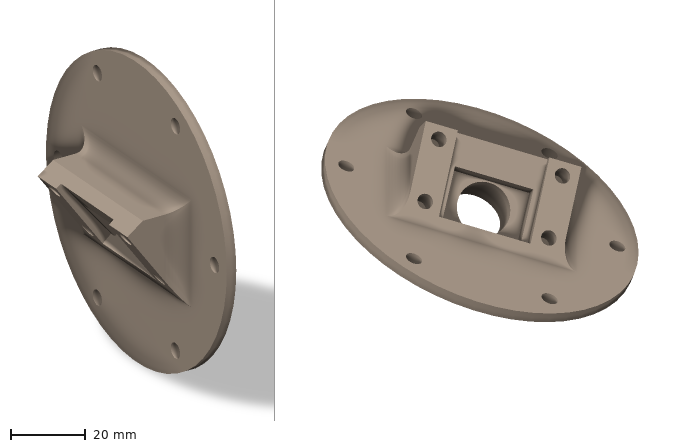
import cadquery as cq
import math

flange_diameter = 89.0
flange_thickness = 3.0
spigot_diameter = 62.9
overall_depth = 23.05
back_y = 6.0
bolt_circle_radius = 38.45
bolt_hole_diameter = 4.5
bolt_count = 6

mount_width = 44.1
mount_top_z = 9.6
mount_foot_z = -17.3
mount_tip_z = 6.05
fillet_radius = 5.0
root_overlap = 0.9
tip_y = back_y - overall_depth
slope_angle = math.degrees(math.atan2(mount_tip_z - mount_foot_z, -tip_y))

screw_hole_diameter = 4.3
screw_hole_depth = 7.1
screw_spacing_x = 35.1
screw_heights = (2.85, -11.7)

pocket_floor_angle = 50.0
pocket_width = 26.0
pocket_corner_y = 0.4
pocket_corner_z = -11.8
recess_width = 22.25
recess_length = 15.7
recess_depth = 4.3
bore_diameter = 14.8
clearance = 35.6


def tilted_plane(y, z, angle):
    """Plane rising forwards at the angle: local y runs up it, local z points out of the part."""
    tilt = math.radians(angle)
    return cq.Plane(
        origin=(0, y, z),
        xDir=(1, 0, 0),
        normal=(0, -math.sin(tilt), -math.cos(tilt)),
    )


def make_flange():
    disc = cq.Workplane("XZ").circle(flange_diameter / 2).extrude(-flange_thickness)
    spigot = cq.Workplane("XZ").circle(spigot_diameter / 2).extrude(-back_y)
    return disc.union(spigot)


def make_mount():
    """Wedge whose sides and top flare concavely into the flange and meet in mitres."""
    half_width = mount_width / 2
    flare_half_width = half_width + fillet_radius
    flare_top_z = mount_top_z + fillet_radius
    arc_offset = fillet_radius * (1 - math.sqrt(0.5))

    width_outline = (
        cq.Workplane("XY")
        .moveTo(-half_width, tip_y)
        .lineTo(half_width, tip_y)
        .lineTo(half_width, -fillet_radius)
        .threePointArc((half_width + arc_offset, -arc_offset), (flare_half_width, 0))
        .lineTo(flare_half_width, root_overlap)
        .lineTo(-flare_half_width, root_overlap)
        .lineTo(-flare_half_width, 0)
        .threePointArc((-half_width - arc_offset, -arc_offset), (-half_width, -fillet_radius))
        .close()
        .extrude(clearance, both=True)
    )

    slope = math.radians(slope_angle)
    nose_y = tip_y + (mount_top_z - mount_tip_z) * math.tan(slope)
    wedge = (
        cq.Workplane("YZ")
        .moveTo(root_overlap, mount_foot_z)
        .lineTo(0, mount_foot_z)
        .lineTo(tip_y, mount_tip_z)
        .lineTo(nose_y, mount_top_z)
        .lineTo(-fillet_radius, mount_top_z)
        .threePointArc((-arc_offset, mount_top_z + arc_offset), (0, flare_top_z))
        .lineTo(root_overlap, flare_top_z)
        .close()
        .extrude(clearance, both=True)
    )
    return width_outline.intersect(wedge)


def cut_bolt_holes(body):
    holes = (
        cq.Workplane("XZ")
        .polarArray(bolt_circle_radius, 0, 360, bolt_count)
        .circle(bolt_hole_diameter / 2)
        .extrude(-back_y)
    )
    return body.cut(holes)


def cut_screw_holes(body):
    for z in screw_heights:
        y = tip_y * (z - mount_foot_z) / (mount_tip_z - mount_foot_z)
        holes = (
            cq.Workplane(tilted_plane(y, z, slope_angle))
            .pushPoints([(-screw_spacing_x / 2, 0), (screw_spacing_x / 2, 0)])
            .circle(screw_hole_diameter / 2)
            .extrude(-screw_hole_depth)
        )
        body = body.cut(holes)
    return body


def cut_pocket(body):
    floor = cq.Workplane(tilted_plane(pocket_corner_y, pocket_corner_z, pocket_floor_angle))
    pocket = floor.center(0, clearance / 2).rect(pocket_width, clearance).extrude(clearance)
    recess_start = cq.Workplane(floor.plane).center(0, recess_length / 2)
    recess = recess_start.rect(recess_width, recess_length).extrude(-recess_depth)
    bore_start = cq.Workplane(floor.plane).center(0, recess_length / 2)
    bore = bore_start.circle(bore_diameter / 2).extrude(-clearance)
    return body.cut(pocket).cut(recess).cut(bore)


result = make_flange().union(make_mount())
result = cut_bolt_holes(result)
result = cut_screw_holes(result)
result = cut_pocket(result)